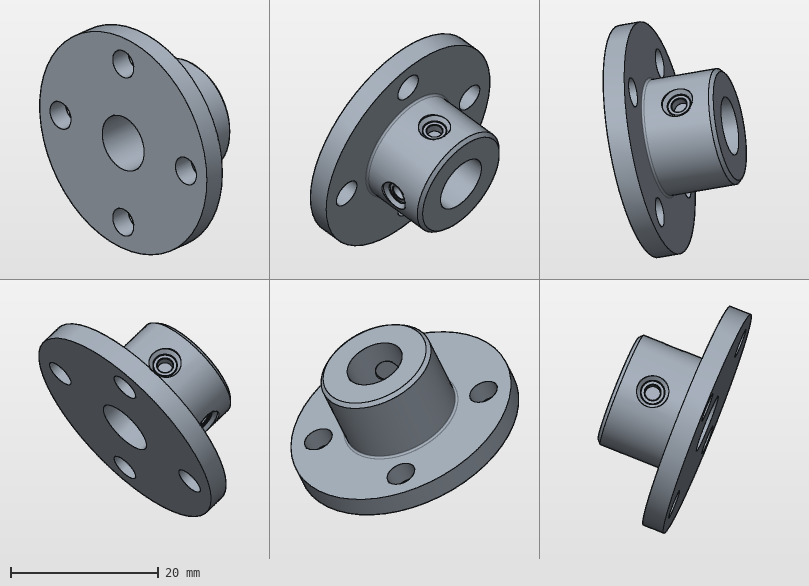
import cadquery as cq
import math

flange_diameter = 32.0
flange_thickness = 3.0
hub_diameter = 16.0
overall_length = 13.0
bore_diameter = 8.0
hub_end_chamfer = 0.5
root_fillet = 0.3

mount_hole_diameter = 4.0
mount_circle_radius = 12.0
mount_hole_count = 4

screw_axis_y = 8.0
screw_hole_diameter = 3.33
countersink_diameter = 4.4
screw_diameter = screw_hole_diameter
screw_end_chamfer = 0.1
screw_recess = 0.95
socket_diameter = 2.1
socket_depth = 1.28
socket_mouth_chamfer = 0.1
screw_angles = (0, 90)

hub_radius = hub_diameter / 2
bore_radius = bore_diameter / 2
screw_tip_radius = bore_radius
screw_length = hub_radius - screw_recess - screw_tip_radius

countersink_slope_depth = (countersink_diameter - screw_hole_diameter) / 2
rim_radius = math.sqrt(hub_radius**2 - (countersink_diameter / 2) ** 2)


def along_y(diameter, start, length):
    """Cylinder on the Y axis, growing toward +Y."""
    plane = cq.Plane(origin=(0, start, 0), xDir=(1, 0, 0), normal=(0, 1, 0))
    return cq.Workplane(plane).circle(diameter / 2).extrude(length)


def along_screw_axis(diameter, start_radius, length):
    """Cylinder on the +Z screw axis, growing outward."""
    plane = cq.Workplane("XY", origin=(0, screw_axis_y, start_radius))
    return plane.circle(diameter / 2).extrude(length)


def place_at(body, angle):
    """Turn a body from the +Z screw position to another angle about Y."""
    return body.rotate((0, 0, 0), (0, 1, 0), angle)


def make_screw_hole():
    """Radial hole with a 45 degree countersink and clearance above its rim."""
    drill = along_screw_axis(screw_hole_diameter, 0, hub_radius)
    cone = cq.Workplane(
        cq.Solid.makeCone(
            screw_hole_diameter / 2,
            countersink_diameter / 2,
            countersink_slope_depth,
            pnt=cq.Vector(0, screw_axis_y, rim_radius - countersink_slope_depth),
            dir=cq.Vector(0, 0, 1),
        )
    )
    clearance = along_screw_axis(countersink_diameter, rim_radius, hub_radius - rim_radius)
    return drill.union(cone).union(clearance)


def make_hub():
    """Flange and hub in one piece, with bore, mounting holes and screw holes."""
    barrel = along_y(hub_diameter, 0, overall_length).faces(">Y").edges().chamfer(hub_end_chamfer)
    body = along_y(flange_diameter, 0, flange_thickness).union(barrel)
    root_edge = cq.selectors.BoxSelector(
        (-hub_diameter, flange_thickness - root_fillet, -hub_diameter),
        (hub_diameter, flange_thickness + root_fillet, hub_diameter),
    )
    body = body.edges(root_edge).edges(cq.selectors.RadiusNthSelector(0)).fillet(root_fillet)
    body = body.cut(along_y(bore_diameter, 0, overall_length))
    mount_hole = along_y(mount_hole_diameter, 0, flange_thickness).translate((0, 0, mount_circle_radius))
    for index in range(mount_hole_count):
        body = body.cut(place_at(mount_hole, index * 360 / mount_hole_count))
    for angle in screw_angles:
        body = body.cut(place_at(make_screw_hole(), angle))
    return body


def make_set_screw():
    """Headless screw with a chamfered outer end and a chamfered round blind socket."""
    screw = along_screw_axis(screw_diameter, screw_tip_radius, screw_length)
    screw = screw.faces(">Z").edges().chamfer(screw_end_chamfer)
    socket_floor = screw_tip_radius + screw_length - socket_depth
    screw = screw.cut(along_screw_axis(socket_diameter, socket_floor, socket_depth))
    return screw.faces(">Z").edges(cq.selectors.RadiusNthSelector(0)).chamfer(socket_mouth_chamfer)


hub = make_hub()
set_screws = [place_at(make_set_screw(), angle) for angle in screw_angles]

result = cq.Compound.makeCompound([hub.val(), *[screw.val() for screw in set_screws]])